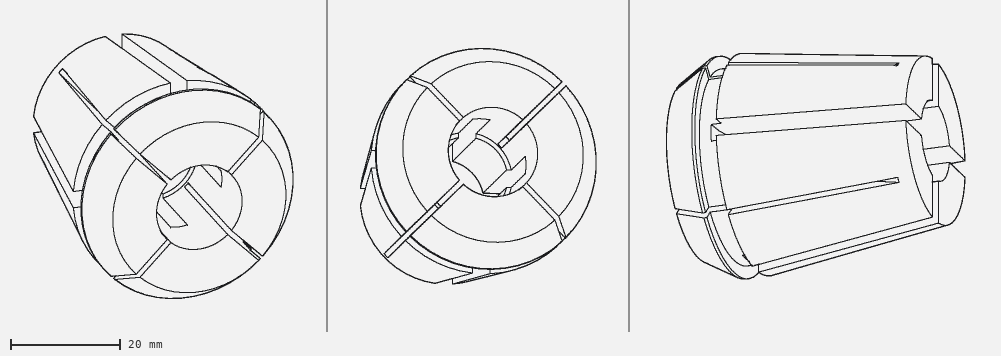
import cadquery as cq
import math

length = 46.0
front_radius = 15.55
max_radius = 20.42
body_length = 34.95
neck_radius = 18.1
collar_start = 39.1
collar_width = 0.6
rear_radius = 16.75

bore_radius = 7.45
rear_bore_radius = 8.3
rear_bore_start = 22.1

wide_slot_width = 3.2
wide_slot_end = 36.8
saw_radius = 29.9

narrow_slot_width = 1.0
narrow_slot_start = 3.0
ramp_end = 22.8

slot_count = 4
clearance = 2.3
outer_reach = max_radius + clearance


def make_body():
    """Revolve the tapered body, neck and collar about the X axis."""
    outline = [
        (0, 0),
        (0, front_radius),
        (body_length, max_radius),
        (body_length, neck_radius),
        (collar_start, neck_radius),
        (collar_start, max_radius),
        (collar_start + collar_width, max_radius),
        (length, rear_radius),
        (length, 0),
    ]
    return cq.Workplane("XY").polyline(outline).close().revolve(360, (0, 0), (1, 0))


def make_bore(radius, start):
    """Cylinder about the X axis from start to the rear end."""
    return cq.Workplane("YZ").workplane(offset=start).circle(radius).extrude(length - start)


def make_wide_slot():
    """Cutter for one front slot; its curved floor is deepest at the neck surface."""
    def floor_at(radius):
        drop = saw_radius - math.sqrt(saw_radius**2 - (neck_radius - radius) ** 2)
        return wide_slot_end - drop

    mid_radius = neck_radius / 2
    return (
        cq.Workplane("XZ")
        .moveTo(-clearance, 0)
        .lineTo(floor_at(0), 0)
        .threePointArc((floor_at(mid_radius), mid_radius), (wide_slot_end, neck_radius))
        .lineTo(wide_slot_end, outer_reach)
        .lineTo(-clearance, outer_reach)
        .close()
        .extrude(wide_slot_width / 2, both=True)
    )


def make_narrow_slot():
    """Cutter for one rear slot; its floor slopes from the taper down to the bore."""
    taper = (max_radius - front_radius) / body_length
    start_radius = front_radius + taper * narrow_slot_start
    ramp_slope = (start_radius - rear_bore_radius) / (ramp_end - narrow_slot_start)
    axis_crossing = narrow_slot_start + start_radius / ramp_slope
    outline = [
        (narrow_slot_start, start_radius),
        (axis_crossing, 0),
        (length + clearance, 0),
        (length + clearance, outer_reach),
        (narrow_slot_start, outer_reach),
    ]
    return cq.Workplane("XZ").polyline(outline).close().extrude(narrow_slot_width / 2, both=True)


result = make_body()
result = result.cut(make_bore(bore_radius, 0))
result = result.cut(make_bore(rear_bore_radius, rear_bore_start))

slot_pitch = 360 / slot_count
wide_slot = make_wide_slot()
narrow_slot = make_narrow_slot().rotate((0, 0, 0), (1, 0, 0), slot_pitch / 2)
for index in range(slot_count):
    for slot in (wide_slot, narrow_slot):
        result = result.cut(slot.rotate((0, 0, 0), (1, 0, 0), index * slot_pitch))